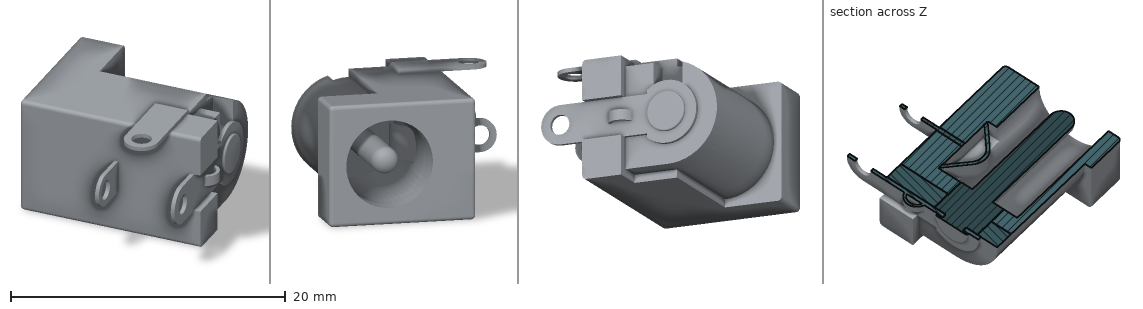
import cadquery as cq
import math


HEIGHT = 9.04
TOP = HEIGHT / 2
SIDE = 4.5
WIDTH = 11.0
LUG_SIDE = SIDE - WIDTH
FLANGE_DEPTH = 3.5
HOUSING_LENGTH = 12.0
EDGE_RADIUS = 0.3
BARREL_RADIUS = 3.9
BORE_RADIUS = 3.25
END_WALL = 1.5
BORE_DEPTH = HOUSING_LENGTH - END_WALL

COVER_END = 13.59
BLOCK_END = 14.4
BLOCK_FACE = -3.39
KEY_SLOT_WIDTH = 2.3

PIN_RADIUS = 1.0
PIN_TIP = 0.5
PIN_BASE_RADIUS = 2.0
RIVET_RADIUS = 1.5
RIVET_THICKNESS = 0.2
RIVET_EDGE = 0.1

SHEET = 0.3
LUG_END = -10.0
LUG_HOLE_DIAMETER = 1.5
TOP_LUG_WIDTH = 2.6
TOP_LUG_FACE = -3.04
TOP_LUG_LEG = 1.17
TOP_LUG_BEND = 0.36
SIDE_LUG_WIDTH = 2.5
SIDE_LUG_FRONT = 7.56
REAR_LUG_WIDTH = 3.0
REAR_LUG_EYE_RADIUS = 2.38
REAR_LUG_EYE_EDGE = -1.56
REAR_LUG_END = COVER_END + SHEET
RIVET_END = REAR_LUG_END + RIVET_THICKNESS

BRIDGE_CREST = 14.6
BRIDGE_Y = -3.66
BRIDGE_RADIUS = 1.01
BRIDGE_THICKNESS = 0.25
BRIDGE_WIDTH = 0.8
BRIDGE_LEG_ANGLE = 65

LEAF_CREST = -2.0
LEAF_RADIUS = 1.46
LEAF_RAMP_ANGLE = 47
LEAF_FLOOR = -4.09
LEAF_X = SIDE_LUG_FRONT + SHEET / 2


def box(x0, x1, y0, y1, z0, z1):
    """Box between two opposite corners."""
    return cq.Workplane("XY").box(x1 - x0, y1 - y0, z1 - z0, centered=False).translate((x0, y0, z0))


def rod(radius, x0, x1):
    """Cylinder along the socket axis."""
    return cq.Workplane("YZ").workplane(offset=x0).circle(radius).extrude(x1 - x0)


def lug_blade(across, root, width):
    """Flat blade running from Y = root to LUG_END, with a round, drilled end."""
    end_centre = LUG_END + width / 2
    blade = (
        cq.Workplane("XY")
        .moveTo(across - width / 2, root)
        .lineTo(across - width / 2, end_centre)
        .threePointArc((across, LUG_END), (across + width / 2, end_centre))
        .lineTo(across + width / 2, root)
        .close()
        .extrude(SHEET)
    )
    hole = cq.Workplane("XY").center(across, end_centre).circle(LUG_HOLE_DIAMETER / 2).extrude(SHEET)
    return blade.cut(hole)


def upright_blade(front, root, width):
    """Blade standing in a plane across X, with its front face at X = front."""
    blade = lug_blade(0, root, width)
    return blade.rotate((0, 0, 0), (0, 1, 0), 90).translate((front, 0, 0))


def make_envelope():
    """Block around the housing and cover, with the front and long edges rounded."""
    block = box(0, BLOCK_END, LUG_SIDE, SIDE, -TOP, TOP)
    return block.edges("|X or <X").fillet(EDGE_RADIUS)


def make_leaf_spring():
    """Strip bent into a rounded crest, with both feet on the floor of its pocket; and that pocket."""
    angle = math.radians(LEAF_RAMP_ANGLE)
    centre_y = LEAF_CREST - LEAF_RADIUS

    def bend(radius):
        """End of the bend (Y, and X from the crest) and the X where its ramp meets the floor."""
        rise = centre_y + radius * math.sin(angle)
        half = radius * math.cos(angle)
        foot = half + (rise - LEAF_FLOOR) * math.tan(angle)
        return rise, half, foot

    inner_radius = LEAF_RADIUS - SHEET
    rise, half, foot = bend(LEAF_RADIUS)
    inner_rise, inner_half, inner_foot = bend(inner_radius)
    strip = (
        cq.Workplane("XY")
        .moveTo(-foot, LEAF_FLOOR)
        .lineTo(-half, rise)
        .threePointArc((0, LEAF_CREST), (half, rise))
        .lineTo(foot, LEAF_FLOOR)
        .lineTo(inner_foot, LEAF_FLOOR)
        .lineTo(inner_half, inner_rise)
        .threePointArc((0, centre_y + inner_radius), (-inner_half, inner_rise))
        .lineTo(-inner_foot, LEAF_FLOOR)
        .close()
        .extrude(SIDE_LUG_WIDTH / 2, both=True)
    )
    pocket = box(
        LEAF_X - foot, LEAF_X + foot, LEAF_FLOOR, LEAF_CREST, -SIDE_LUG_WIDTH / 2, SIDE_LUG_WIDTH / 2
    )
    return strip.translate((LEAF_X, 0, 0)), pocket


def make_side_lug():
    """Upright blade through the housing wall, as far as the floor of the leaf spring's pocket."""
    return upright_blade(SIDE_LUG_FRONT, LEAF_FLOOR, SIDE_LUG_WIDTH)


def make_top_lug():
    """Blade lying on the housing, with a rounded bend into a leg that enters the housing."""
    front = HOUSING_LENGTH - TOP_LUG_WIDTH
    inner_face = TOP_LUG_FACE - SHEET
    leg_end = TOP - TOP_LUG_LEG
    blade = lug_blade(front + TOP_LUG_WIDTH / 2, inner_face, TOP_LUG_WIDTH)
    leg = box(front, HOUSING_LENGTH, inner_face, TOP_LUG_FACE, leg_end, TOP + SHEET)
    bent = blade.translate((0, 0, TOP)).union(leg)
    outer_corner = cq.selectors.NearestToPointSelector((front, TOP_LUG_FACE, TOP + SHEET))
    return bent.edges("|X").edges(outer_corner).fillet(TOP_LUG_BEND)


def make_bridge():
    """Narrow curved strip with both legs on the back of the rear lug."""
    angle = math.radians(BRIDGE_LEG_ANGLE)
    centre_x = BRIDGE_CREST - BRIDGE_RADIUS

    def half_outline(radius):
        """End of the bend (X, and Y from the crest) and the Y where its leg meets the lug."""
        tangent_x = centre_x + radius * math.cos(angle)
        tangent_y = radius * math.sin(angle)
        foot_y = tangent_y + (tangent_x - REAR_LUG_END) / math.tan(angle)
        return tangent_x, tangent_y, foot_y

    def arch(radius):
        tangent_x, tangent_y, foot_y = half_outline(radius)
        return (
            cq.Workplane("XY")
            .moveTo(REAR_LUG_END, BRIDGE_Y - foot_y)
            .lineTo(tangent_x, BRIDGE_Y - tangent_y)
            .threePointArc((centre_x + radius, BRIDGE_Y), (tangent_x, BRIDGE_Y + tangent_y))
            .lineTo(REAR_LUG_END, BRIDGE_Y + foot_y)
            .close()
            .extrude(BRIDGE_WIDTH / 2, both=True)
        )

    return arch(BRIDGE_RADIUS).cut(arch(BRIDGE_RADIUS - BRIDGE_THICKNESS))


def make_rear_lug(pin):
    """Upright blade with a round eye for the pin and a bridge on its back."""
    blade = upright_blade(COVER_END, 0, REAR_LUG_WIDTH)
    eye = rod(REAR_LUG_EYE_RADIUS, COVER_END, REAR_LUG_END)
    below_eye = box(
        COVER_END, REAR_LUG_END, LUG_END, REAR_LUG_EYE_EDGE, -REAR_LUG_EYE_RADIUS, REAR_LUG_EYE_RADIUS
    )
    eye = eye.cut(below_eye)
    return blade.union(eye).union(make_bridge()).cut(pin)


def make_pin():
    """Round-nosed pin on a wide base, riveted over behind the rear lug."""
    nose_x = PIN_TIP + PIN_RADIUS
    pin = rod(PIN_RADIUS, nose_x, RIVET_END)
    nose = cq.Workplane("XY").sphere(PIN_RADIUS).translate((nose_x, 0, 0))
    base = rod(PIN_BASE_RADIUS, BORE_DEPTH, COVER_END)
    rivet = rod(RIVET_RADIUS, REAR_LUG_END, RIVET_END).faces(">X").edges().fillet(RIVET_EDGE)
    return pin.union(nose).union(base).union(rivet)


def make_housing(envelope, inserts):
    """Flanged block and barrel round the socket bore, recessed for the bodies that enter it."""
    flange = box(0, FLANGE_DEPTH, LUG_SIDE, SIDE, -TOP, TOP)
    body = box(0, HOUSING_LENGTH, LUG_SIDE, 0, -TOP, TOP)
    barrel = rod(BARREL_RADIUS, 0, HOUSING_LENGTH)
    housing = flange.union(body).union(barrel).intersect(envelope)
    housing = housing.cut(rod(BORE_RADIUS, 0, BORE_DEPTH))
    for insert in inserts:
        housing = housing.cut(insert)
    return housing


def make_cover(envelope):
    """Plate behind the housing, with a full-height block that is notched for the rear lug."""
    plate = box(HOUSING_LENGTH, COVER_END, BLOCK_FACE, 0, -BARREL_RADIUS, BARREL_RADIUS)
    disc = rod(BARREL_RADIUS, HOUSING_LENGTH, COVER_END)
    block = box(HOUSING_LENGTH, BLOCK_END, LUG_SIDE, BLOCK_FACE, -TOP, TOP).intersect(envelope)
    key_slot = box(
        HOUSING_LENGTH, COVER_END, -KEY_SLOT_WIDTH / 2, KEY_SLOT_WIDTH / 2, 0, BARREL_RADIUS
    )
    lug_notch = box(
        COVER_END, BLOCK_END, LUG_SIDE, BLOCK_FACE, -REAR_LUG_WIDTH / 2, REAR_LUG_WIDTH / 2
    )
    cover = plate.union(disc).union(block).cut(key_slot).cut(lug_notch)
    return cover.cut(rod(PIN_BASE_RADIUS, HOUSING_LENGTH, COVER_END))


envelope = make_envelope()
pin = make_pin()
rear_lug = make_rear_lug(pin)
side_lug = make_side_lug()
top_lug = make_top_lug()
leaf_spring, leaf_pocket = make_leaf_spring()
housing = make_housing(envelope, [pin, leaf_pocket, side_lug, top_lug])
cover = make_cover(envelope)

result = cq.Compound.makeCompound(
    [
        housing.val(),
        cover.val(),
        pin.val(),
        rear_lug.val(),
        side_lug.val(),
        top_lug.val(),
        leaf_spring.val(),
    ]
)